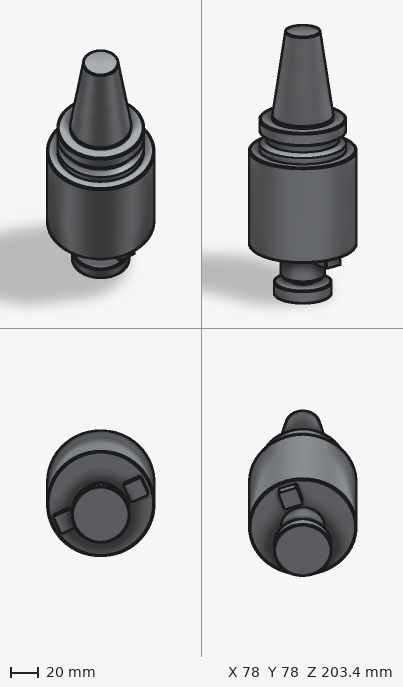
import cadquery as cq


gauge_radius = 44.45 / 2
taper_length = 65.4
taper_ratio = 7 / 24
small_end_chamfer_width = 0.5
small_end_chamfer_height = 0.8
small_end_edge_height = taper_length - small_end_chamfer_height
small_end_edge_radius = gauge_radius - small_end_edge_height * taper_ratio / 2

relief_depth = 0.4
relief_radius = gauge_radius - relief_depth
relief_bottom = -1.9

flange_radius = 63 / 2
flange_top = -2.2
flange_chamfer = 1.0
groove_radius = 53 / 2
groove_start = -11.3
groove_end = -21.4
groove_side_slope = 0.53
groove_side_height = (flange_radius - groove_radius) * groove_side_slope

body_radius = 78 / 2
body_top = -26.2
body_bottom = -100.0
body_chamfer = 1.0

spigot_radius = 32 / 2
spigot_length = 24.0
spigot_bottom = body_bottom - spigot_length
spigot_chamfer_width = 1.0
spigot_chamfer_height = 1.6

screw_radius = 16 / 2
head_radius = 42 / 2
head_height = 10.0
head_bottom = -138.0
head_top = head_bottom + head_height
head_chamfer = 0.8

key_width = 14.0
key_height = 7.0
key_inner = 21.0
key_outer = 35.0
key_chamfer = 0.7
key_outer_chamfer_length = 1.1


def make_turned_body():
    """Revolve the half profile of everything that is round about Z."""
    profile = [
        (0, taper_length),
        (small_end_edge_radius - small_end_chamfer_width, taper_length),
        (small_end_edge_radius, small_end_edge_height),
        (gauge_radius, 0),
        (relief_radius, -relief_depth),
        (relief_radius, relief_bottom + relief_depth),
        (gauge_radius, relief_bottom),
        (gauge_radius, flange_top),
        (flange_radius - flange_chamfer, flange_top),
        (flange_radius, flange_top - flange_chamfer),
        (flange_radius, groove_start),
        (groove_radius, groove_start - groove_side_height),
        (groove_radius, groove_end + groove_side_height),
        (flange_radius, groove_end),
        (flange_radius, body_top),
        (body_radius - body_chamfer, body_top),
        (body_radius, body_top - body_chamfer),
        (body_radius, body_bottom + body_chamfer),
        (body_radius - body_chamfer, body_bottom),
        (spigot_radius, body_bottom),
        (spigot_radius, spigot_bottom + spigot_chamfer_height),
        (spigot_radius - spigot_chamfer_width, spigot_bottom),
        (screw_radius, spigot_bottom),
        (screw_radius, head_top),
        (head_radius - head_chamfer, head_top),
        (head_radius, head_top - head_chamfer),
        (head_radius, head_bottom + head_chamfer),
        (head_radius - head_chamfer, head_bottom),
        (0, head_bottom),
    ]
    return cq.Workplane("XZ").polyline(profile).close().revolve(360, (0, 0, 0), (0, 1, 0))


def make_drive_key(side):
    """Make one drive key under the body, on the +X (side = 1) or -X (side = -1) side."""
    half_width = key_width / 2
    upper_half = [
        (key_inner, half_width - key_chamfer),
        (key_inner + key_chamfer, half_width),
        (key_outer - key_outer_chamfer_length, half_width),
        (key_outer, half_width - key_chamfer),
    ]
    lower_half = [(x, -y) for x, y in reversed(upper_half)]
    outline = [(side * x, y) for x, y in upper_half + lower_half]
    return (
        cq.Workplane("XY", origin=(0, 0, body_bottom))
        .polyline(outline)
        .close()
        .extrude(-key_height)
    )


result = make_turned_body()
for side in (-1, 1):
    result = result.union(make_drive_key(side))